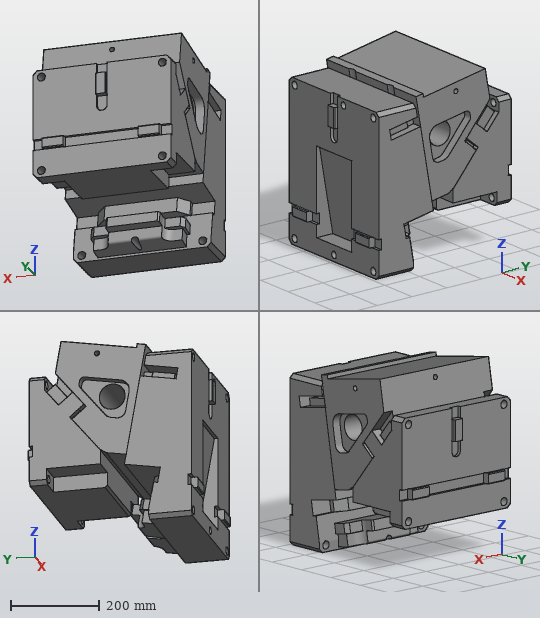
import cadquery as cq
import math

width = 330.0
total_height = 443.0
half_width = width / 2
back_face_y = 380.5

tilt = math.radians(10)
incline = math.radians(50)
rise_angle = incline - tilt
block_depth = 200.0
block_height = 254.2
foot_y = 153.0
foot_z = total_height - block_depth * math.sin(tilt) - block_height * math.cos(tilt)
lip_depth = 20.5
lip_height = 9.5
step_depth = 114.3
step_height = 105.5
step_rise = 43.5
heel_depth = 48.0
heel_height = 7.0
bore_diameter = 60.2
bore_depth, bore_height = 64.0, 140.0
pocket_depth = 21.3
pocket_wall = 19.5
pocket_back = 140.0
pocket_bottom, pocket_top = 84.0, 174.5
pocket_rounds = (18.5, 26.0, 11.0, 11.0, 26.0)
screw_diameter = 11.5
screw_hole_length = 22.0
drill_point = math.radians(118)
screw_drop = 21.3
side_screw_depth = 110.7
groove_radius = 19.0
groove_cut = 4.5
groove_x = 70.5

rail_neck = 16.5
neck_inset = 25.5
head_inset = 14.5

tongue_bottom = 188.2
tongue_thickness = 18.0
tongue_neck = 21.3
tongue_reach = 74.5
tongue_neck_inset = 25.5
tongue_head_inset = 20.5

plate_height = 400.0
plate_lip_gap = 5.0
slot_reach = 85.5
slot_height = 26.0
notch_top = -24.0
notch_height = 36.5
lower_face_setback = 75.5
foot_thickness = 100.0
window_width = 128.5
window_bottom, window_top = 40.5, 259.5
window_top_depth = 8.0

rib_half_width = 110.7
rib_step = slot_reach - tongue_reach
rib_bevel = 24.0

hook_top, hook_bottom = -85.5, -140.5
hook_ledge = 25.0
hook_half_width = 106.5
ledge_half_width = 113.0
nose_half_width = 64.2
hook_root = -86.5
hook_base_end = -46.0
hook_ledge_end = -34.5
nose_end = -1.0
ledge_bevel = 9.5
nose_bevel = 4.0
hook_fillet = 21.5
hook_round = 5.8

bracket_bottom = 105.0
bracket_top = 364.0
flange_thickness = 36.0
foot_flange_thickness = 40.8
bracket_depth = 167.0
relief_height = 35.5
relief_width = 62.0
bracket_bevel = 5.5
shoulder_bottom, shoulder_top = 7.5, 48.5

corner_bevel = 9.7
corner_hole = 18.5
middle_hole = 17.0
hole_edge = 16.5
hole_x = 145.0
offset_hole_x = 35.0
key_width = 25.2
key_length = 50.5
key_slot_depth = 8.0
key_projection = 9.0
key_bevel = 2.0
side_key_x = 115.0
front_side_key_z = 84.5
rear_side_key_z = 184.5
top_key_drop = 26.0
top_slot_length = 114.5


def tilted(depth, height):
    """(y, z) of a point given along the block's own depth and height axes."""
    y = foot_y + depth * math.cos(tilt) - height * math.sin(tilt)
    z = foot_z + depth * math.sin(tilt) + height * math.cos(tilt)
    return y, z


def inclined(up, out):
    """(y, z) of a point up along the rear joint face and out from it, from the step's inner corner."""
    y0, z0 = tilted(step_depth, step_height)
    y = y0 + up * math.cos(incline) + out * math.sin(incline)
    z = z0 + up * math.sin(incline) - out * math.cos(incline)
    return y, z


def up_at_depth(depth, out):
    """Distance up the joint face at which it reaches the given block depth."""
    return (depth - step_depth - out * math.sin(rise_angle)) / math.cos(rise_angle)


def up_at_height(height, out):
    """Distance up the joint face at which it reaches the given block height."""
    return (height - step_height + out * math.cos(rise_angle)) / math.sin(rise_angle)


def prism(outline, x_from=-half_width, x_to=half_width):
    """Solid with the given (y, z) outline between two X positions."""
    return cq.Workplane("YZ").workplane(offset=x_from).polyline(outline).close().extrude(x_to - x_from)


def block(x_size, y_from, y_to, z_from, z_to, x_mid=0.0):
    """Upright box centred on x_mid."""
    size = (x_size, abs(y_to - y_from), z_to - z_from)
    middle = (x_mid, (y_from + y_to) / 2, (z_from + z_to) / 2)
    return cq.Workplane("XY").box(*size).translate(middle)


def y_hole(diameter, x, z, y_from, y_to):
    """Cylinder along Y."""
    start = cq.Vector(x, y_from, z)
    return cq.Workplane(cq.Solid.makeCylinder(diameter / 2, y_to - y_from, start, cq.Vector(0, 1, 0)))


def tilted_plane(height):
    """Workplane square to the tilted height axis; local x is X and local y is the depth axis."""
    y, z = tilted(0, height)
    return cq.Workplane(cq.Plane((0, y, z), (1, 0, 0), (0, -math.sin(tilt), math.cos(tilt))))


def tilted_layer(plan, bottom, top):
    """Solid with a (x, depth) plan between two tilted heights."""
    return tilted_plane(bottom).polyline(plan).close().extrude(top - bottom)


def mirrored_plan(right_side):
    """Closed plan made from its points on the +X side and their mirror images."""
    return right_side + [(-x, depth) for x, depth in reversed(right_side)]


def key(x_size, z_size, x, z, face_y, inward):
    """Key seated in its slot and standing proud of a mounting face, its long outer edges bevelled."""
    outer_y = face_y - inward * key_projection
    body = block(x_size, outer_y, face_y + inward * key_slot_depth, z - z_size / 2, z + z_size / 2, x)
    outer_face = "<Y" if inward > 0 else ">Y"
    long_edges = "|X" if x_size > z_size else "|Z"
    return body.faces(outer_face).edges(long_edges).chamfer(key_bevel)


def key_slots(face_y, inward, top_z, side_key_z):
    """Cutters for the level slot and for the round-ended slot that opens at the top."""
    floor_y = face_y + inward * key_slot_depth
    level = block(width, face_y, floor_y, side_key_z - key_width / 2, side_key_z + key_width / 2)
    end_z = top_z - top_slot_length + key_width / 2
    upright = block(key_width, face_y, floor_y, end_z, top_z)
    round_end = y_hole(key_width, 0, end_z, min(face_y, floor_y), max(face_y, floor_y))
    return level.union(upright).union(round_end)


def add_keys(body, face_y, inward, top_z, side_key_z):
    """Cut both slots in a mounting face and set the three keys in them."""
    body = body.cut(key_slots(face_y, inward, top_z, side_key_z))
    for x in (-side_key_x, side_key_x):
        body = body.union(key(key_length, key_width, x, side_key_z, face_y, inward))
    top_key_z = top_z - top_key_drop - key_length / 2
    return body.union(key(key_width, key_length, 0, top_key_z, face_y, inward))


def bevel_cutter(y_from, y_to, z_edge, into):
    """Cutters for both corner bevels on the edge at z_edge; into is +1 when the body lies above it."""
    cutters = cq.Workplane("XY")
    for side in (-1, 1):
        corner = side * half_width
        outline = [
            (corner, z_edge),
            (corner - side * corner_bevel, z_edge),
            (corner, z_edge + into * corner_bevel),
        ]
        wedge = cq.Workplane("XZ").polyline(outline).close().extrude(y_from - y_to)
        cutters = cutters.add(wedge.translate((0, y_from, 0)))
    return cutters.combine()


def centre_rib(bottom, top):
    """Bevelled rib that makes the front plate's slot and notch shallower in the middle."""
    bevel_start = rib_step - slot_reach
    bevel_end = bevel_start + rib_bevel
    plan = mirrored_plan([
        (rib_half_width, -slot_reach),
        (rib_half_width, bevel_start),
        (rib_half_width - rib_bevel, bevel_end),
    ])
    return tilted_layer(plan, bottom, top)


def hook():
    """Lower hook: a base that narrows through fillets to a nose, under a wider bevelled ledge."""
    nose_base_end = hook_base_end + hook_fillet
    fillet_x = nose_half_width + hook_fillet
    bend = hook_fillet * (1 - math.sqrt(0.5))
    base = (
        tilted_plane(hook_bottom)
        .moveTo(-hook_half_width, hook_root)
        .lineTo(hook_half_width, hook_root)
        .lineTo(hook_half_width, hook_base_end)
        .lineTo(fillet_x, hook_base_end)
        .threePointArc((nose_half_width + bend, hook_base_end + bend), (nose_half_width, nose_base_end))
        .lineTo(-nose_half_width, nose_base_end)
        .threePointArc((-nose_half_width - bend, hook_base_end + bend), (-fillet_x, hook_base_end))
        .lineTo(-hook_half_width, hook_base_end)
        .close()
        .extrude(hook_top - hook_bottom)
    )
    y, z = tilted(nose_base_end, hook_bottom)
    base = base.edges(cq.NearestToPointSelector((0, y, z))).fillet(hook_round)
    ledge_plan = mirrored_plan([
        (ledge_half_width, hook_root),
        (ledge_half_width, hook_ledge_end - ledge_bevel),
        (ledge_half_width - ledge_bevel, hook_ledge_end),
        (nose_half_width, hook_ledge_end),
        (nose_half_width, nose_end - nose_bevel),
        (nose_half_width - nose_bevel, nose_end),
    ])
    return base.union(tilted_layer(ledge_plan, hook_top - hook_ledge, hook_top))


def front_plate():
    slot_top = tongue_bottom + slot_height
    notch_bottom = notch_top - notch_height
    top_edge_height = (plate_height - foot_z + plate_lip_gap * math.sin(tilt)) / math.cos(tilt)
    turn_height = (foot_y - lower_face_setback * math.cos(tilt) - foot_thickness) / math.sin(tilt)
    outline = [
        (0, 0),
        (0, plate_height),
        tilted(-plate_lip_gap, top_edge_height),
        tilted(-plate_lip_gap, slot_top),
        tilted(-slot_reach, slot_top),
        tilted(-slot_reach, tongue_bottom),
        tilted(0, tongue_bottom),
        tilted(0, notch_top),
        tilted(-slot_reach, notch_top),
        tilted(-slot_reach, notch_bottom),
        tilted(-lower_face_setback, notch_bottom),
        tilted(-lower_face_setback, turn_height),
        (foot_thickness, 0),
    ]
    plate = prism(outline)
    plate = plate.union(centre_rib(tongue_bottom, slot_top))
    plate = plate.union(centre_rib(notch_bottom, notch_top))
    plate = plate.union(hook())
    for z_edge, into in ((0, 1), (plate_height, -1)):
        plate = plate.cut(bevel_cutter(0, foot_y, z_edge, into))

    window_bottom_depth = window_top_depth + (window_top - window_bottom) * math.tan(tilt)
    window_outline = [
        (0, window_bottom),
        (0, window_top),
        (window_top_depth, window_top),
        (window_bottom_depth, window_bottom),
    ]
    plate = plate.cut(prism(window_outline, -window_width / 2, window_width / 2))
    plate = add_keys(plate, 0, 1, plate_height, front_side_key_z)

    top_hole_z = plate_height - hole_edge
    holes = [(corner_hole, x, z) for x in (-hole_x, hole_x) for z in (hole_edge, top_hole_z)]
    holes += [(middle_hole, 0, hole_edge), (middle_hole, offset_hole_x, top_hole_z)]
    hook_end_y = tilted(nose_end, hook_bottom)[0]
    for diameter, x, z in holes:
        plate = plate.cut(y_hole(diameter, x, z, 0, hook_end_y))
    return plate


def side_pocket_cutter():
    """Triangular pocket outline as a solid through the block, with rounded corners."""
    out = -pocket_wall
    back_up = up_at_depth(pocket_back, out)
    bottom_up = up_at_height(pocket_bottom, out)
    outline = [
        tilted(pocket_wall, pocket_bottom),
        tilted(pocket_wall, pocket_top),
        tilted(pocket_back, pocket_top),
        inclined(back_up, out),
        inclined(bottom_up, out),
    ]
    cutter = prism(outline)
    for (y, z), radius in zip(outline, pocket_rounds):
        cutter = cutter.edges(cq.NearestToPointSelector((0, y, z))).fillet(radius)
    return cutter


def rear_rail():
    """T-shaped rail on the upper part of the rear joint face."""
    neck_half = half_width - neck_inset
    head_half = half_width - head_inset
    rail_end = up_at_depth(block_depth, rail_neck)
    neck = [
        inclined(0, 0),
        inclined(up_at_depth(block_depth, 0), 0),
        inclined(rail_end, rail_neck),
        inclined(0, rail_neck),
    ]
    head = [
        inclined(0, rail_neck),
        inclined(rail_end, rail_neck),
        inclined(rail_end, step_rise),
        inclined(0, step_rise),
    ]
    return prism(neck, -neck_half, neck_half).union(prism(head, -head_half, head_half))


def front_tongue():
    """T-shaped tongue that enters the front plate's slot and straddles its rib."""
    neck_half = half_width - tongue_neck_inset
    head_half = half_width - tongue_head_inset
    tongue_top = tongue_bottom + tongue_thickness
    plan = mirrored_plan([
        (head_half, -tongue_reach),
        (head_half, -tongue_neck),
        (neck_half, -tongue_neck),
        (neck_half, 0),
    ])
    return tilted_layer(plan, tongue_bottom, tongue_top).cut(centre_rib(tongue_bottom, tongue_top))


def slide_block():
    lip_top = block_height + lip_height
    outline = [
        tilted(0, 0),
        tilted(0, lip_top),
        tilted(lip_depth, lip_top),
        tilted(lip_depth, block_height),
        tilted(block_depth, block_height),
        inclined(up_at_depth(block_depth, 0), 0),
        inclined(0, 0),
        inclined(0, step_rise),
        inclined(up_at_height(heel_height, step_rise), step_rise),
        tilted(heel_depth, 0),
    ]
    body = prism(outline)

    for x in (-groove_x, groove_x):
        centre = (x, groove_cut - groove_radius)
        body = body.cut(tilted_plane(0).center(*centre).circle(groove_radius).extrude(lip_top))

    body = body.union(rear_rail()).union(front_tongue())

    pocket = side_pocket_cutter()
    core = block(width - 2 * pocket_depth, 0, back_face_y, 0, total_height)
    body = body.cut(pocket.cut(core))
    bore = cq.Workplane("YZ").workplane(offset=-half_width).center(*tilted(bore_depth, bore_height))
    body = body.cut(bore.circle(bore_diameter / 2).extrude(width))

    screw_height = block_height - screw_drop
    side_y, side_z = tilted(side_screw_depth, screw_height)
    rear_y, rear_z = tilted(block_depth, screw_height)
    into_block = cq.Vector(0, -math.cos(tilt), -math.sin(tilt))
    blind_holes = (
        (cq.Vector(-half_width, side_y, side_z), cq.Vector(1, 0, 0)),
        (cq.Vector(half_width, side_y, side_z), cq.Vector(-1, 0, 0)),
        (cq.Vector(0, rear_y, rear_z), into_block),
    )
    for start, direction in blind_holes:
        radius = screw_diameter / 2
        tip_start = start + direction * screw_hole_length
        tip_length = radius / math.tan(drill_point / 2)
        drill = cq.Workplane(cq.Solid.makeCylinder(radius, screw_hole_length, start, direction))
        drill = drill.union(cq.Workplane(cq.Solid.makeCone(radius, 0, tip_length, tip_start, direction)))
        body = body.cut(drill)
    return body


def rear_bracket():
    front_y = back_face_y - bracket_depth
    flange_y = back_face_y - flange_thickness
    joint_y, joint_z = inclined(0, step_rise)
    slope = math.tan(incline)
    outline = [
        (back_face_y, bracket_bottom),
        (back_face_y, bracket_top),
        (flange_y, bracket_top),
        (flange_y, joint_z + (flange_y - joint_y) * slope),
        (front_y, joint_z + (front_y - joint_y) * slope),
        (front_y, bracket_bottom + bracket_bevel),
        (front_y + bracket_bevel, bracket_bottom),
    ]
    bracket = prism(outline)

    for out_from, out_to, inset in ((0, rail_neck, neck_inset), (rail_neck, step_rise, head_inset)):
        shoulder = [
            inclined(shoulder_bottom, out_from),
            inclined(shoulder_top, out_from),
            inclined(shoulder_top, out_to),
            inclined(shoulder_bottom, out_to),
        ]
        bracket = bracket.union(prism(shoulder, -half_width, inset - half_width))
        bracket = bracket.union(prism(shoulder, half_width - inset, half_width))

    relief_y = back_face_y - foot_flange_thickness
    for side in (-1, 1):
        relief_x = side * (half_width - relief_width / 2)
        relief_top = bracket_bottom + relief_height
        bracket = bracket.cut(block(relief_width, front_y, relief_y, bracket_bottom, relief_top, relief_x))
    bracket = bracket.cut(bevel_cutter(front_y, back_face_y, bracket_bottom, 1))
    bracket = bracket.cut(bevel_cutter(front_y, back_face_y, bracket_top, -1))
    bracket = add_keys(bracket, back_face_y, -1, bracket_top, rear_side_key_z)

    for x in (-hole_x, hole_x):
        for z in (bracket_bottom + hole_edge, bracket_top - hole_edge):
            bracket = bracket.cut(y_hole(corner_hole, x, z, relief_y, back_face_y))
    return bracket


result = cq.Compound.makeCompound([
    front_plate().val(),
    slide_block().val(),
    rear_bracket().val(),
])